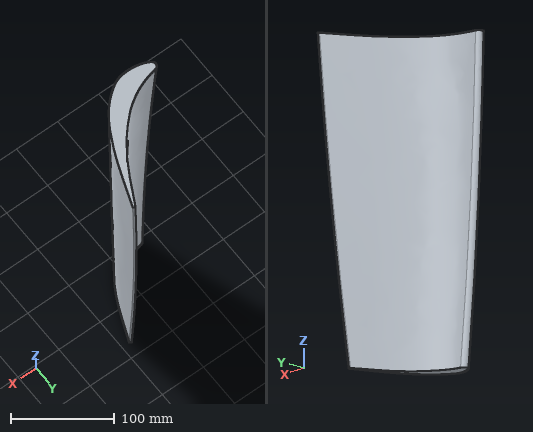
import cadquery as cq
import math

blade_height = 337.71

nose_radius = 4.9
tail_radius = 1.4
nose_pressure_angle = 100
nose_suction_angle = 236
tail_pressure_angle = 151
tail_suction_angle = -20

suction_stations = (0.0, 0.08, 0.18, 0.31, 0.50, 0.65, 0.83)
pressure_stations = (0.14, 0.26, 0.42, 0.70)

suction_start = -0.07
suction_parameters = [suction_start, *suction_stations, 1]
pressure_parameters = [0, *(1 - t for t in reversed(pressure_stations)), 1]

root_section = {
    "height": 0.0,
    "nose": (24.1, 14.3),
    "tail": (96.0, 97.6),
    "suction_bow": (0.105, 0.157, 0.179, 0.187, 0.167, 0.130, 0.072),
    "pressure_bow": (0.028, 0.062, 0.084, 0.063),
}
middle_section = {
    "height": blade_height / 2,
    "nose": (15.0, 9.6),
    "tail": (103.2, 114.2),
    "suction_bow": (0.099, 0.166, 0.197, 0.205, 0.180, 0.140, 0.076),
    "pressure_bow": (0.038, 0.077, 0.090, 0.057),
}
tip_section = {
    "height": blade_height,
    "nose": (4.9, 11.8),
    "tail": (111.59, 123.95),
    "suction_bow": (0.086, 0.178, 0.223, 0.235, 0.204, 0.157, 0.084),
    "pressure_bow": (0.047, 0.087, 0.103, 0.074),
}


def point_on_circle(centre, radius, angle):
    turn = math.radians(angle)
    return (centre[0] + radius * math.cos(turn), centre[1] + radius * math.sin(turn))


def tangent(speed, angle):
    """Counter-clockwise tangent at this angle of a circle, with the given length."""
    return point_on_circle((0, 0), speed, angle + 90)


def bowed_points(section, stations, bows):
    """Points beside the chord, each offset square to it towards the suction side."""
    nose_x, nose_y = section["nose"]
    chord_x = section["tail"][0] - nose_x
    chord_y = section["tail"][1] - nose_y
    return [
        (nose_x + t * chord_x + bow * chord_y, nose_y + t * chord_y - bow * chord_x)
        for t, bow in zip(stations, bows)
    ]


def rounded_edge_points(centre, radius, start_angle, end_angle):
    """Start, middle and end of the arc round the nose or the tail."""
    middle_angle = (start_angle + end_angle) / 2
    return [point_on_circle(centre, radius, a) for a in (start_angle, middle_angle, end_angle)]


def add_section(blade, section):
    """Add one closed aerofoil outline: nose arc, suction side, tail arc, pressure side."""
    nose = rounded_edge_points(section["nose"], nose_radius, nose_pressure_angle, nose_suction_angle)
    tail = rounded_edge_points(section["tail"], tail_radius, tail_suction_angle, tail_pressure_angle)
    suction = bowed_points(section, suction_stations, section["suction_bow"])
    pressure = bowed_points(section, pressure_stations, section["pressure_bow"])

    speed = math.dist(section["nose"], section["tail"])
    suction_tangents = [tangent(speed, nose_suction_angle), tangent(speed, tail_suction_angle)]
    pressure_tangents = [tangent(speed, tail_pressure_angle), tangent(speed, nose_pressure_angle)]
    return (
        blade.workplane(offset=section["height"] - blade.plane.origin.z)
        .moveTo(*nose[0])
        .threePointArc(nose[1], nose[2])
        .spline(
            suction + [tail[0]],
            tangents=suction_tangents,
            parameters=suction_parameters,
            scale=False,
            includeCurrent=True,
        )
        .threePointArc(tail[1], tail[2])
        .spline(
            pressure[::-1] + [nose[0]],
            tangents=pressure_tangents,
            parameters=pressure_parameters,
            scale=False,
            includeCurrent=True,
        )
        .close()
    )


blade = cq.Workplane("XY")
for section in (root_section, middle_section, tip_section):
    blade = add_section(blade, section)
result = blade.loft(ruled=False, combine=True)